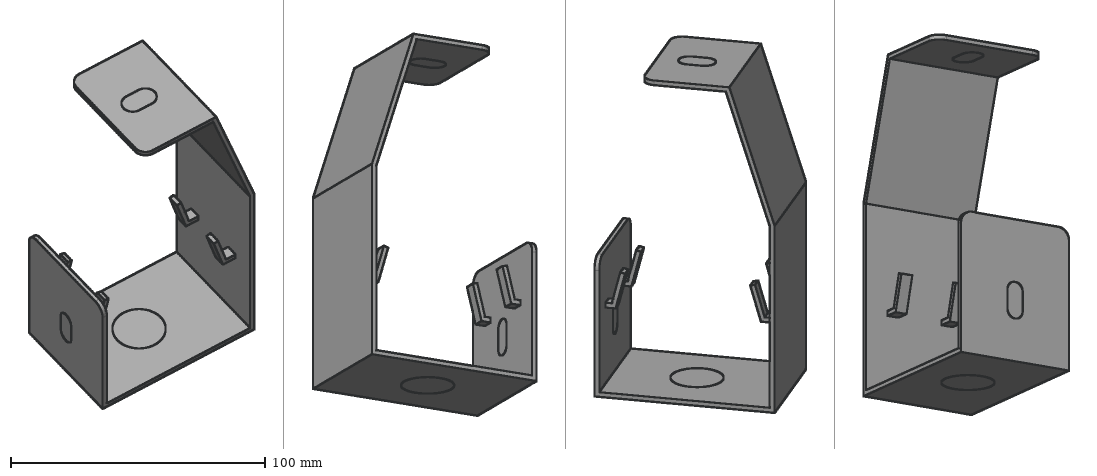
import cadquery as cq
import math

width = 50.0
depth = 73.3
height = 135.4
sheet = 2.0

back_wall_height = 78.8
front_wall_height = 58.2
top_bend_y = 54.8
top_edge_y = 19.2
corner_radius = 5.0

knockout_shift = 0.1
slot_length = 15.0
front_slot_width = 7.0
front_slot_z = 25.0
top_slot_width = 9.0
top_slot_y = 35.3
floor_knockout_diameter = 21.0
floor_knockout_y = 35.3

tab_width = 5.0
tab_spacing = 25.0
tab_z = 34.0
back_tab_reach = 6.1
back_tab_lean = 16.4
front_tab_reach = 4.0
front_tab_lean = 14.5
tab_leg_length = 15.5


def extrude_across(points, length, center_x=0):
    """Extrude a closed (Y, Z) outline along X, centred on center_x."""
    outline = cq.Workplane("YZ", origin=(center_x, 0, 0)).polyline(points).close()
    return outline.extrude(length / 2, both=True)


def make_shell():
    """Bent sheet of uniform thickness with rounded free corners."""
    slope_y = depth - top_bend_y
    slope_z = height - back_wall_height
    slope_angle = math.atan2(slope_y, slope_z)
    lower_bend_drop = sheet * math.tan(slope_angle / 2)
    upper_bend_shift = sheet * math.tan((math.pi / 2 - slope_angle) / 2)
    points = [
        (0, 0),
        (depth, 0),
        (depth, back_wall_height),
        (top_bend_y, height),
        (top_edge_y, height),
        (top_edge_y, height - sheet),
        (top_bend_y - upper_bend_shift, height - sheet),
        (depth - sheet, back_wall_height - lower_bend_drop),
        (depth - sheet, sheet),
        (sheet, sheet),
        (sheet, front_wall_height),
        (0, front_wall_height),
    ]
    shell = extrude_across(points, width)
    top_corners = cq.selectors.BoxSelector(
        (-width, top_edge_y - sheet / 2, height - sheet),
        (width, top_edge_y + sheet / 2, height),
    )
    front_corners = cq.selectors.BoxSelector(
        (-width, 0, front_wall_height - sheet / 2),
        (width, sheet, front_wall_height + sheet / 2),
    )
    shell = shell.edges("|Z").edges(top_corners).fillet(corner_radius)
    return shell.edges("|Y").edges(front_corners).fillet(corner_radius)


def add_tabs(body, wall_face_y, inward, reach, lean):
    """Add a pair of tabs with a level foot and a leg leaning inward (+1 or -1 along Y)."""
    angle = math.radians(lean)
    foot_inset = sheet * math.tan((math.pi / 2 - angle) / 2)
    leg_y = tab_leg_length * math.sin(angle)
    leg_z = tab_leg_length * math.cos(angle)
    section = [
        (-sheet / 2, 0),
        (reach, 0),
        (reach + leg_y, leg_z),
        (reach + leg_y - sheet * math.cos(angle), leg_z + sheet * math.sin(angle)),
        (reach - foot_inset, sheet),
        (-sheet / 2, sheet),
    ]
    points = [(wall_face_y + inward * run, tab_z + rise) for run, rise in section]
    for side in (-1, 1):
        body = body.union(extrude_across(points, tab_width, side * tab_spacing / 2))
    return body


def shift_knockout(body, outer_plane, outline):
    """Displace a slug inward; outer_plane lies on the outer face, its normal pointing inward."""
    recess = outline(outer_plane).extrude(knockout_shift)
    slug = outline(outer_plane.workplane(offset=knockout_shift)).extrude(sheet)
    return body.cut(recess).union(slug)


front_plane = cq.Workplane(cq.Plane((0, 0, front_slot_z), (1, 0, 0), (0, 1, 0)))
top_plane = cq.Workplane(cq.Plane((0, top_slot_y, height), (1, 0, 0), (0, 0, -1)))
floor_plane = cq.Workplane("XY", origin=(0, floor_knockout_y, 0))

result = make_shell()
result = add_tabs(result, depth - sheet, -1, back_tab_reach, back_tab_lean)
result = add_tabs(result, sheet, 1, front_tab_reach, front_tab_lean)
result = shift_knockout(result, front_plane, lambda plane: plane.slot2D(slot_length, front_slot_width, 90))
result = shift_knockout(result, top_plane, lambda plane: plane.slot2D(slot_length, top_slot_width, 90))
result = shift_knockout(result, floor_plane, lambda plane: plane.circle(floor_knockout_diameter / 2))